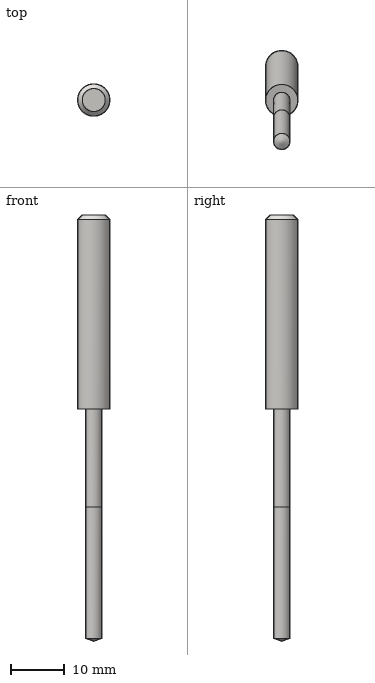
import cadquery as cq
import math

overall_length = 79.0
shank_length = 36.0
shank_diameter = 6.0
shank_chamfer = 0.87
cutter_length = 24.85
cutter_diameter = 3.05
point_angle = 140.0

shank_radius = shank_diameter / 2
cutter_radius = cutter_diameter / 2
neck_radius = cutter_radius
point_height = cutter_radius / math.tan(math.radians(point_angle / 2))
shoulder_z = overall_length - shank_length


def make_cutter():
    """Cutting portion: a plain cylinder ending in a conical point."""
    return (
        cq.Workplane("XZ")
        .moveTo(0, 0)
        .lineTo(cutter_radius, point_height)
        .lineTo(cutter_radius, cutter_length)
        .lineTo(0, cutter_length)
        .close()
        .revolve(360, (0, 0), (0, 1))
    )


def make_holder():
    """Slim neck below a thicker shank, with the shank's top edge chamfered."""
    neck = (
        cq.Workplane("XY")
        .workplane(offset=cutter_length)
        .circle(neck_radius)
        .extrude(shoulder_z - cutter_length)
    )
    shank = (
        cq.Workplane("XY")
        .workplane(offset=shoulder_z)
        .circle(shank_radius)
        .extrude(shank_length)
        .faces(">Z")
        .chamfer(shank_chamfer)
    )
    return neck.union(shank)


cutter = make_cutter()
holder = make_holder()

result = cq.Compound.makeCompound([cutter.val(), holder.val()])